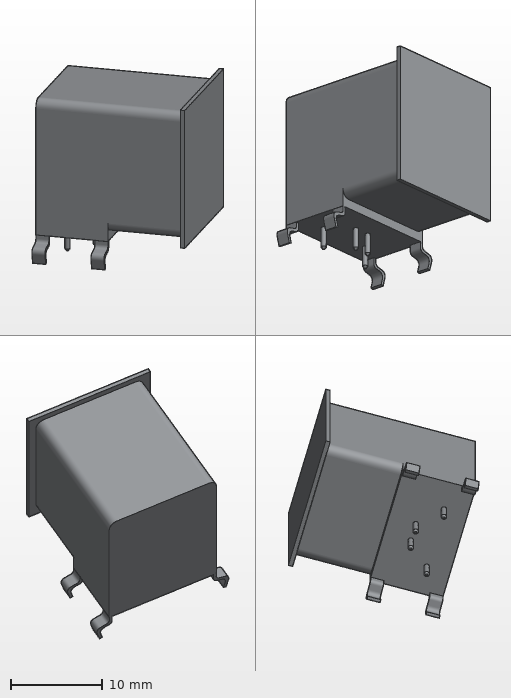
import cadquery as cq
import math

total_length = 17.3
total_height = 19.19
clip_span = 16.48

flange_thickness = 0.5
flange_width = 15.2
flange_bottom = 3.25

body_length = total_length - flange_thickness
body_width = 13.41
flange_lip = 0.7
body_top = total_height - flange_lip
corner_radius = 1.0
rear_length = 8.25
rear_bottom = 2.9
front_bottom = 3.97

clip_width = 1.5
clip_thickness = 0.35
clip_inset = 0.02
upper_bend_radius = 0.46
lower_bend_radius = 0.58
hip_z = 2.07
shoulder_slope = math.radians(12.4)
tip_slope = math.radians(16)
clip_embed = 0.38

pin_diameter = 0.6
pin_bottom = 0.33
pin_chamfer_height = 0.27
pin_chamfer_depth = 0.2
outer_pin_x = 2.69
inner_pin_x = 5.2
outer_pin_y = 3.5
inner_pin_y = 1.0


def make_housing():
    """Block with rounded long edges; its rear part reaches lower with square bottom edges."""
    front_height = body_top - front_bottom
    upper = (
        cq.Workplane("XY")
        .box(body_length, body_width, front_height, centered=(False, True, False))
        .translate((0, 0, front_bottom))
        .edges("|X")
        .fillet(corner_radius)
    )
    square_height = front_bottom + corner_radius - rear_bottom
    lower = (
        cq.Workplane("XY")
        .box(rear_length, body_width, square_height, centered=(False, True, False))
        .translate((0, 0, rear_bottom))
    )
    return upper.union(lower)


def make_flange():
    return (
        cq.Workplane("XY")
        .box(flange_thickness, flange_width, total_height - flange_bottom, centered=(False, True, False))
        .translate((body_length, 0, flange_bottom))
    )


def miter(shoulder_tilt, leg_tilt):
    """Shift of a shoulder corner when the shoulder and the adjoining leg both move outward by one unit."""
    shoulder_normal = (math.sin(shoulder_tilt), math.cos(shoulder_tilt))
    leg_normal = (math.cos(leg_tilt), -math.sin(leg_tilt))
    scale = 1 / (1 + shoulder_normal[0] * leg_normal[0] + shoulder_normal[1] * leg_normal[1])
    return (
        (shoulder_normal[0] + leg_normal[0]) * scale,
        (shoulder_normal[1] + leg_normal[1]) * scale,
    )


def make_clip(start_x):
    """Bent strip on the +Y side: down, out along a sloping shoulder, then back in to the tip."""
    face_y = body_width / 2 - clip_inset
    strip_top = rear_bottom + clip_embed

    knee_shift = miter(shoulder_slope, tip_slope)
    hip_shift = miter(shoulder_slope, 0)
    knee_y = clip_span / 2 - lower_bend_radius * (1 - knee_shift[0])
    knee_z = hip_z - (knee_y - face_y) * math.tan(shoulder_slope)
    tip_y = knee_y - knee_z * math.tan(tip_slope)

    outer_face = [(face_y, strip_top), (face_y, hip_z), (knee_y, knee_z), (tip_y, 0)]
    inner_face = [
        (tip_y - clip_thickness * math.cos(tip_slope), clip_thickness * math.sin(tip_slope)),
        (knee_y - clip_thickness * knee_shift[0], knee_z - clip_thickness * knee_shift[1]),
        (face_y - clip_thickness * hip_shift[0], hip_z - clip_thickness * hip_shift[1]),
        (face_y - clip_thickness, strip_top),
    ]
    strip = cq.Workplane("YZ").polyline(outer_face + inner_face).close().extrude(clip_width)

    for corner, radius in (
        (outer_face[1], upper_bend_radius),
        (inner_face[2], upper_bend_radius),
        (outer_face[2], lower_bend_radius),
        (inner_face[1], lower_bend_radius),
    ):
        corner_edge = cq.NearestToPointSelector((clip_width / 2, *corner))
        strip = strip.edges("|X").edges(corner_edge).fillet(radius)
    return strip.translate((start_x, 0, 0))


def make_pin(x, y):
    return (
        cq.Workplane("XY", origin=(x, y, pin_bottom))
        .circle(pin_diameter / 2)
        .extrude(rear_bottom - pin_bottom)
        .faces("<Z")
        .chamfer(pin_chamfer_height, pin_chamfer_depth)
    )


result = make_housing().union(make_flange())

for start_x in (0, rear_length - clip_width):
    clip = make_clip(start_x)
    result = result.union(clip).union(clip.mirror("XZ"))

for side in (-1, 1):
    result = result.union(make_pin(outer_pin_x, side * outer_pin_y))
    result = result.union(make_pin(inner_pin_x, side * inner_pin_y))